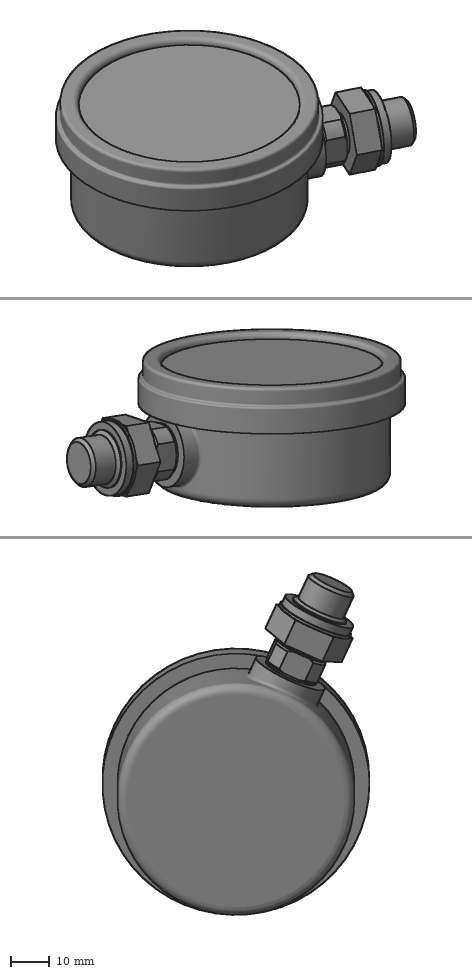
import cadquery as cq
import math

case_radius = 31.1
case_height = 21.2
case_bottom_round = 2.6
boss_radius = 9.9
boss_end_y = 34.5
boss_root_round = 0.8

overall_height = 33.2
bezel_radius = 35.0
bezel_upper_radius = 33.9
bezel_step_z = 28.3
bezel_step_round = (bezel_radius - bezel_upper_radius) / 2
bezel_top_round = 0.9
window_radius = 29.0
window_lip_round = 1.5
window_depth = 1.7

overall_length = 96.2
fitting_axis_z = 13.2
tip_y = overall_length - bezel_radius
base_radius = 7.1
square_start_y = 35.1
square_end_y = 41.5
square_flats = 14.1
square_corner_radius = 8.0
square_end_chamfer = 0.6
neck_radius = 5.6
hex_start_y = 42.7
hex_end_y = 49.8
hex_flats = 19.05
flange_radius = 10.2
flange_end_y = 50.6
collar_radius = 9.8
collar_end_y = 52.8
shoulder_radius = 7.7
shoulder_end_y = 53.1
thread_start_y = 53.9
thread_radius = 6.5
thread_chamfer = 1.0


def along_fitting(y):
    """Sketch plane across the fitting axis at the given Y, facing +Y."""
    return cq.Workplane(cq.Plane(origin=(0, y, fitting_axis_z), xDir=(1, 0, 0), normal=(0, 1, 0)))


def fitting_cylinder(radius, start_y, end_y):
    return along_fitting(start_y).circle(radius).extrude(end_y - start_y)


def make_case():
    cup = cq.Workplane("XY").circle(case_radius).extrude(case_height)
    cup = cup.faces("<Z").edges().fillet(case_bottom_round)
    boss_limit = cq.Workplane("XY").circle(bezel_radius + boss_radius).extrude(case_height)
    boss = fitting_cylinder(boss_radius, 0, boss_end_y).intersect(boss_limit)
    case = cup.union(boss)
    root_start_y = math.sqrt(case_radius**2 - boss_radius**2)
    root_top_z = case_height - boss_root_round
    root_box = cq.selectors.BoxSelector(
        (-boss_radius, root_start_y, 0), (boss_radius, case_radius, root_top_z)
    )
    return case.edges(root_box).fillet(boss_root_round)


def make_bezel():
    step_middle = (bezel_upper_radius + bezel_step_round, bezel_step_z)
    lip_centre_radius = window_radius + window_lip_round
    profile = (
        cq.Workplane("XZ")
        .moveTo(0, case_height)
        .lineTo(bezel_radius, case_height)
        .lineTo(bezel_radius, bezel_step_z - bezel_step_round)
        .radiusArc(step_middle, -bezel_step_round)
        .radiusArc((bezel_upper_radius, bezel_step_z + bezel_step_round), bezel_step_round)
        .lineTo(bezel_upper_radius, overall_height - bezel_top_round)
        .radiusArc((bezel_upper_radius - bezel_top_round, overall_height), -bezel_top_round)
        .lineTo(lip_centre_radius, overall_height)
        .radiusArc((window_radius, overall_height - window_lip_round), -window_lip_round)
        .lineTo(window_radius, overall_height - window_depth)
        .lineTo(0, overall_height - window_depth)
        .close()
    )
    return profile.revolve(360, (0, 0, 0), (0, 1, 0))


def make_square():
    """Wrench square with rounded corners and chamfered ends."""
    length = square_end_y - square_start_y
    square = along_fitting(square_start_y).rect(square_flats, square_flats).extrude(length)
    rounded = fitting_cylinder(square_corner_radius, square_start_y, square_end_y)
    return square.intersect(rounded.faces("<Y or >Y").edges().chamfer(square_end_chamfer))


def make_hex():
    corner_diameter = hex_flats / math.cos(math.pi / 6)
    return along_fitting(hex_start_y).polygon(6, corner_diameter).extrude(hex_end_y - hex_start_y)


def make_shoulder():
    """Tapered transition from the collar down to the thread."""
    return (
        cq.Workplane("XY", origin=(0, 0, fitting_axis_z))
        .moveTo(0, collar_end_y)
        .lineTo(shoulder_radius, collar_end_y)
        .lineTo(shoulder_radius, shoulder_end_y)
        .lineTo(thread_radius, thread_start_y)
        .lineTo(0, thread_start_y)
        .close()
        .revolve(360, (0, 0, 0), (0, 1, 0))
    )


def make_fitting():
    thread = fitting_cylinder(thread_radius, thread_start_y, tip_y)
    fitting = fitting_cylinder(base_radius, boss_end_y, square_start_y)
    fitting = fitting.union(make_square())
    fitting = fitting.union(fitting_cylinder(neck_radius, square_end_y, hex_start_y))
    fitting = fitting.union(make_hex())
    fitting = fitting.union(fitting_cylinder(flange_radius, hex_end_y, flange_end_y))
    fitting = fitting.union(fitting_cylinder(collar_radius, flange_end_y, collar_end_y))
    fitting = fitting.union(make_shoulder())
    return fitting.union(thread.faces(">Y").edges().chamfer(thread_chamfer))


case = make_case()
bezel = make_bezel()
fitting = make_fitting()

result = cq.Compound.makeCompound([case.solids().val(), bezel.solids().val(), fitting.solids().val()])